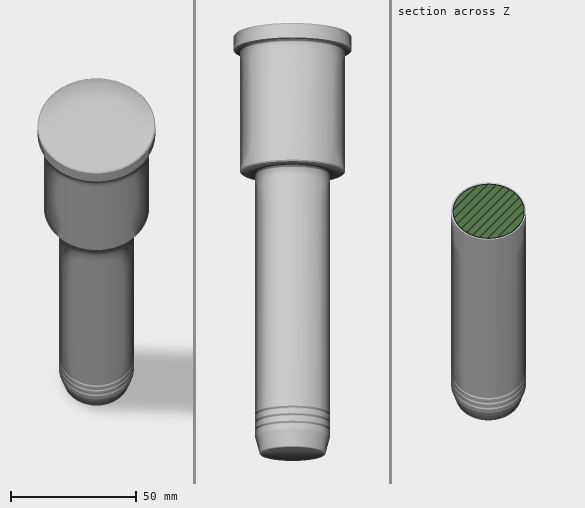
import cadquery as cq
import math

total_height = 171.0
head_height = 6.0
head_and_body_height = 56.0
tip_height = 7.0

head_diameter = 47.0
body_diameter = 42.0
shank_diameter = 30.0

head_chamfer = 0.5
body_chamfer = 0.5
tip_fillet = 0.7
tip_half_angle = 15.0

head_relief_height = 1.0
head_relief_depth = 0.5
neck_height = 1.0
neck_depth = 0.7

groove_count = 3
groove_height = 1.0
groove_depth = 0.5
groove_pitch = 3.0
first_groove_z = 9.2

body_bottom_z = total_height - head_and_body_height
head_bottom_z = total_height - head_height


def cylinder(diameter, bottom_z, top_z):
    """Solid cylinder on the Z axis between two heights."""
    return cq.Workplane("XY").workplane(offset=bottom_z).circle(diameter / 2).extrude(top_z - bottom_z)


def cut_square_ring(part, diameter, depth, bottom_z, height):
    """Cut a square ring groove into a section of the given diameter."""
    ring = cylinder(diameter, bottom_z, bottom_z + height)
    core = cylinder(diameter - 2 * depth, bottom_z, bottom_z + height)
    return part.cut(ring.cut(core))


def cut_vee_ring(part, diameter, depth, bottom_z, height):
    """Cut a V-shaped ring groove whose mouth has the given height."""
    radius = diameter / 2
    mouth_and_vertex = [
        (radius, bottom_z),
        (radius - depth, bottom_z + height / 2),
        (radius, bottom_z + height),
    ]
    ring = cq.Workplane("XZ").polyline(mouth_and_vertex).close().revolve(360, (0, 0), (0, 1))
    return part.cut(ring)


def make_head():
    head = cylinder(head_diameter, head_bottom_z, total_height)
    return head.faces(">Z").edges().chamfer(head_chamfer)


def make_body():
    body = cylinder(body_diameter, body_bottom_z, head_bottom_z)
    body = body.faces("<Z").edges().chamfer(body_chamfer)
    relief_z = head_bottom_z - head_relief_height
    return cut_vee_ring(body, body_diameter, head_relief_depth, relief_z, head_relief_height)


def make_tip():
    """Conical lead-in, narrowing downward to a rounded end."""
    end_radius = shank_diameter / 2 - tip_height * math.tan(math.radians(tip_half_angle))
    tip = cq.Workplane("XY").circle(end_radius).workplane(offset=tip_height).circle(shank_diameter / 2).loft()
    return tip.faces("<Z").edges().fillet(tip_fillet)


def make_shank():
    shank = cylinder(shank_diameter, tip_height, body_bottom_z)
    shank = cut_square_ring(shank, shank_diameter, neck_depth, body_bottom_z - neck_height, neck_height)
    for index in range(groove_count):
        groove_z = first_groove_z + index * groove_pitch
        shank = cut_vee_ring(shank, shank_diameter, groove_depth, groove_z, groove_height)
    return shank


result = make_tip().union(make_shank()).union(make_body()).union(make_head())